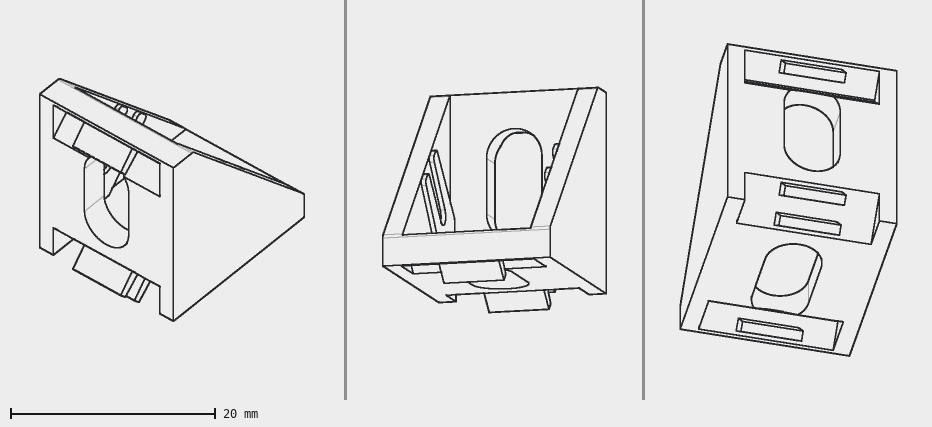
import cadquery as cq
import math


WIDTH = 17.0
LONGEST_SIDE = 21.5
TAB_REACH = 1.5
LEG = LONGEST_SIDE - TAB_REACH
END_LAND = 3.0
LAND_FILLET = 0.5
LEG_THICKNESS = 3.0
INNER_WIDTH = 13.0

SLOT_WIDTH = 5.61
SLOT_LENGTH = 11.14
SLOT_CENTER = 10.75

DRAFT = 3.0

NOTCH_WIDTH = 13.5
CORNER_CUT = 3.55
TAB_PITCH = 16.0
NOTCH_DEPTH = 2.02
NOTCH_FLOOR = 0.24

TAB_WIDTH = 6.08
TAB_THICKNESS = 0.99
CORNER_TAB_TIP = 1.3
TAB_LENGTH = 3.22

RIB_HEIGHT = 0.47
RIB_TIP_WIDTH = 5.61
RIB_GAP = 2.43
RIB_FILLET = 0.47
GAP_DRAFT = 2.0
RIB_RECESS = 0.05
GAP_CENTER = 10.25

SQRT2 = math.sqrt(2)
SLOPE_SUM = LEG + END_LAND
SLOPE_DISTANCE = SLOPE_SUM / SQRT2
RIB_END = SLOPE_DISTANCE - RIB_RECESS


def prism(points, width):
    """Extrude a closed (Y, Z) outline, centred on X = 0."""
    return cq.Workplane("YZ").polyline(points).close().extrude(width / 2, both=True)


def swap_legs(points):
    """Mirror a (Y, Z) outline about the diagonal."""
    return [(z, y) for y, z in points]


def make_body():
    outline = [(0, 0), (LEG, 0), (LEG, END_LAND), (END_LAND, LEG), (0, LEG)]
    body = prism(outline, WIDTH)
    body = body.faces(">(0, 1, 1)").edges("|X").fillet(LAND_FILLET)
    cavity = cq.Workplane("XY").box(INNER_WIDTH, LEG, LEG, centered=(True, False, False))
    return body.cut(cavity.translate((0, LEG_THICKNESS, LEG_THICKNESS)))


def make_slot_cutter(plane):
    return (
        cq.Workplane(plane)
        .center(0, SLOT_CENTER)
        .slot2D(SLOT_LENGTH, SLOT_WIDTH, 90)
        .extrude(LEG_THICKNESS, both=True)
    )


def end_notch_outline():
    top = CORNER_CUT + TAB_PITCH
    return [
        (0, top),
        (NOTCH_DEPTH, top - NOTCH_DEPTH),
        (NOTCH_DEPTH, top - NOTCH_DEPTH - NOTCH_FLOOR),
        (0, top - 2 * NOTCH_DEPTH - NOTCH_FLOOR),
    ]


def tab_outline(tip):
    """Tab on the Y = 0 face, sloping outwards and down at 45 degrees, with drafted flanks."""
    edge = TAB_THICKNESS / SQRT2
    upper_angle = math.radians(45 + DRAFT)
    lower_angle = math.radians(45 - DRAFT)
    tip_y = -TAB_REACH
    heel_y, heel_z = tip_y + edge, tip - edge
    return [
        (tip_y, tip),
        (tip_y + TAB_LENGTH * math.cos(upper_angle), tip + TAB_LENGTH * math.sin(upper_angle)),
        (heel_y + TAB_LENGTH * math.cos(lower_angle), heel_z + TAB_LENGTH * math.sin(lower_angle)),
        (heel_y, heel_z),
    ]


def make_ribs():
    """Two forked ribs, their prongs ending just below the sloping edge."""
    gap_draft = math.radians(GAP_DRAFT)
    tip_half = RIB_TIP_WIDTH / 2
    root_half = tip_half + RIB_END * math.tan(math.radians(DRAFT))
    gap_half = RIB_GAP / 2
    end_radius = (
        gap_half * math.cos(gap_draft) - (RIB_END - GAP_CENTER) * math.sin(gap_draft)
    )
    tangent_along = GAP_CENTER - end_radius * math.sin(gap_draft)
    tangent_half = end_radius * math.cos(gap_draft)
    fork = (
        cq.Workplane("YZ")
        .moveTo(0, -root_half)
        .lineTo(RIB_END, -tip_half)
        .lineTo(RIB_END, -gap_half)
        .lineTo(tangent_along, -tangent_half)
        .threePointArc((GAP_CENTER - end_radius, 0), (tangent_along, tangent_half))
        .lineTo(RIB_END, gap_half)
        .lineTo(RIB_END, tip_half)
        .lineTo(0, root_half)
        .close()
        .extrude(INNER_WIDTH / 2, both=True)
        .faces(">Y")
        .edges("|X")
        .fillet(RIB_FILLET)
        .rotate((0, 0, 0), (1, 0, 0), 45)
    )
    middle = cq.Workplane("XY").box(INNER_WIDTH - 2 * RIB_HEIGHT, 2 * LEG, 2 * LEG)
    corner = cq.Workplane("XY").box(WIDTH, LEG, LEG, centered=(True, False, False))
    return fork.cut(middle).intersect(corner)


result = make_body().union(make_ribs())

for slot_plane in ("XY", "XZ"):
    result = result.cut(make_slot_cutter(slot_plane))

corner_cut_outline = [(0, 0), (CORNER_CUT, 0), (0, CORNER_CUT)]
end_notch = end_notch_outline()
for notch in (corner_cut_outline, end_notch, swap_legs(end_notch)):
    result = result.cut(prism(notch, NOTCH_WIDTH))

for tip_height in (CORNER_TAB_TIP, CORNER_TAB_TIP + TAB_PITCH):
    tab = tab_outline(tip_height)
    for outline in (tab, swap_legs(tab)):
        result = result.union(prism(outline, TAB_WIDTH))